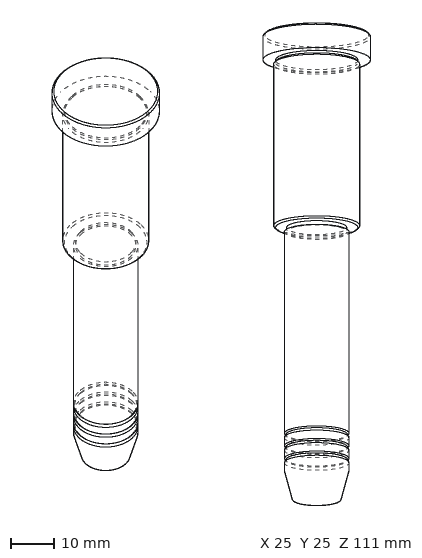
import cadquery as cq
import math

total_length = 111.0
head_height = 6.0
body_bottom = 65.0
shank_top = 64.0
taper_height = 7.0

head_diameter = 25.0
body_diameter = 20.0
neck_diameter = 14.0
shank_diameter = 15.0

head_chamfer = 0.4
body_chamfer = 0.4
tip_fillet = 0.5
taper_angle = 15.0

undercut_width = 1.0
groove_width = 1.0
groove_depth = 0.3
undercut_depth = 0.4
groove_count = 3
groove_pitch = 3.0
lowest_groove_bottom = 9.0


def cylinder(diameter, bottom, top):
    """Solid cylinder on the Z axis between two levels."""
    return cq.Workplane("XY").workplane(offset=bottom).circle(diameter / 2).extrude(top - bottom)


def revolved(profile):
    """Solid of revolution about Z from (radius, level) points."""
    return cq.Workplane("XZ").polyline(profile).close().revolve(360, (0, 0), (0, 1))


def barbed_groove(bottom):
    """Cutter for a shank groove: 45 degree upper wall, long gentle lower wall."""
    outer = shank_diameter / 2
    top = bottom + groove_width
    return revolved([(outer, bottom), (outer - groove_depth, top - groove_depth), (outer, top)])


def head_undercut(top):
    """Cutter for the body undercut: flat wall at the head, 45 degree wall below."""
    outer = body_diameter / 2
    inner = outer - undercut_depth
    bottom = top - undercut_width
    return revolved([(outer, top), (inner, top), (inner, bottom + undercut_depth), (outer, bottom)])


head_bottom = total_length - head_height
head = cylinder(head_diameter, head_bottom, total_length).faces(">Z").chamfer(head_chamfer)

body = cylinder(body_diameter, body_bottom, head_bottom).faces("<Z").chamfer(body_chamfer)
body = body.cut(head_undercut(head_bottom))

neck = cylinder(neck_diameter, shank_top, body_bottom)

shank = cylinder(shank_diameter, taper_height, shank_top)
for index in range(groove_count):
    groove_bottom = lowest_groove_bottom + index * groove_pitch
    shank = shank.cut(barbed_groove(groove_bottom))

tip_radius = shank_diameter / 2 - taper_height * math.tan(math.radians(taper_angle))
lead_in = (
    cq.Workplane("XY")
    .circle(tip_radius)
    .workplane(offset=taper_height)
    .circle(shank_diameter / 2)
    .loft()
    .faces("<Z")
    .fillet(tip_fillet)
)

result = head.union(body).union(neck).union(shank).union(lead_in)